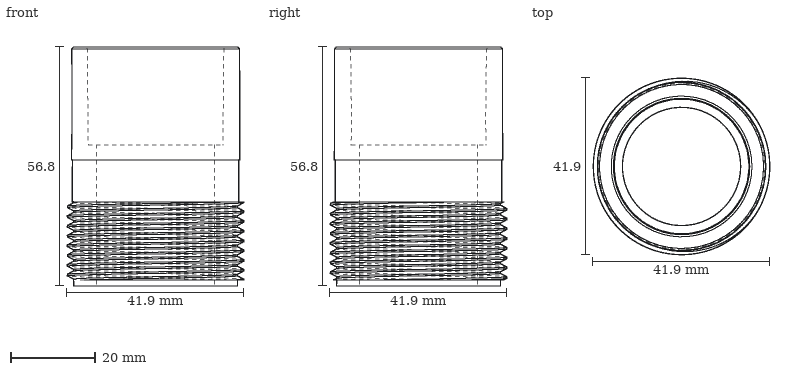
import cadquery as cq


total_length = 56.8
waist_diameter = 39.6
bore_diameter = 28.0
edge_chamfer = 0.5

thread_diameter = 41.9
root_diameter = 38.95
thread_bottom = 1.5
thread_top = 20.0
thread_turns = 8
spare_turns = 1
thread_pitch = (thread_top - thread_bottom) / thread_turns
flat_width = thread_pitch / 6
root_overlap = 0.15

spigot_bottom = 30.0
spigot_base_diameter = 40.05
spigot_top_diameter = 39.95

socket_depth = 23.3
socket_mouth_diameter = 32.4
socket_floor_diameter = 32.0


def make_cylinder(diameter, bottom, top):
    return cq.Workplane("XY").workplane(offset=bottom).circle(diameter / 2).extrude(top - bottom)


def make_outer_body():
    root = make_cylinder(root_diameter, 0, thread_top)
    waist = make_cylinder(waist_diameter, thread_top, spigot_bottom)
    base_radius = spigot_base_diameter / 2
    top_radius = spigot_top_diameter / 2
    spigot = (
        cq.Workplane("XZ")
        .polyline([
            (0, spigot_bottom),
            (base_radius, spigot_bottom),
            (top_radius, total_length - edge_chamfer),
            (top_radius - edge_chamfer, total_length),
            (0, total_length),
        ])
        .close()
        .revolve(360, (0, 0, 0), (0, 1, 0))
    )
    return root.union(waist).union(spigot)


def make_thread_ridge():
    """Helical ridge with a spare turn at each end, trimmed flat to the threaded length."""
    root_radius = root_diameter / 2
    crest_radius = thread_diameter / 2
    inner_radius = root_radius - root_overlap
    crest_half = flat_width / 2
    root_half = (thread_pitch - flat_width) / 2
    flank_slope = (root_half - crest_half) / (crest_radius - root_radius)
    inner_half = root_half + flank_slope * root_overlap

    helix_bottom = thread_bottom - spare_turns * thread_pitch
    helix = cq.Wire.makeHelix(thread_pitch, (thread_turns + 2 * spare_turns) * thread_pitch, root_radius)
    ridge = (
        cq.Workplane("XZ")
        .polyline([
            (inner_radius, -inner_half),
            (crest_radius, -crest_half),
            (crest_radius, crest_half),
            (inner_radius, inner_half),
        ])
        .close()
        .sweep(cq.Workplane(helix), isFrenet=True)
        .translate((0, 0, helix_bottom))
    )
    return ridge.intersect(make_cylinder(2 * thread_diameter, thread_bottom, thread_top))


def make_passage():
    """Through bore, tapered socket and chamfered socket mouth as one revolved void."""
    socket_floor = total_length - socket_depth
    mouth_radius = socket_mouth_diameter / 2
    return (
        cq.Workplane("XZ")
        .polyline([
            (0, 0),
            (bore_diameter / 2, 0),
            (bore_diameter / 2, socket_floor),
            (socket_floor_diameter / 2, socket_floor),
            (mouth_radius, total_length - edge_chamfer),
            (mouth_radius + edge_chamfer, total_length),
            (0, total_length),
        ])
        .close()
        .revolve(360, (0, 0, 0), (0, 1, 0))
    )


result = make_outer_body().union(make_thread_ridge()).cut(make_passage())